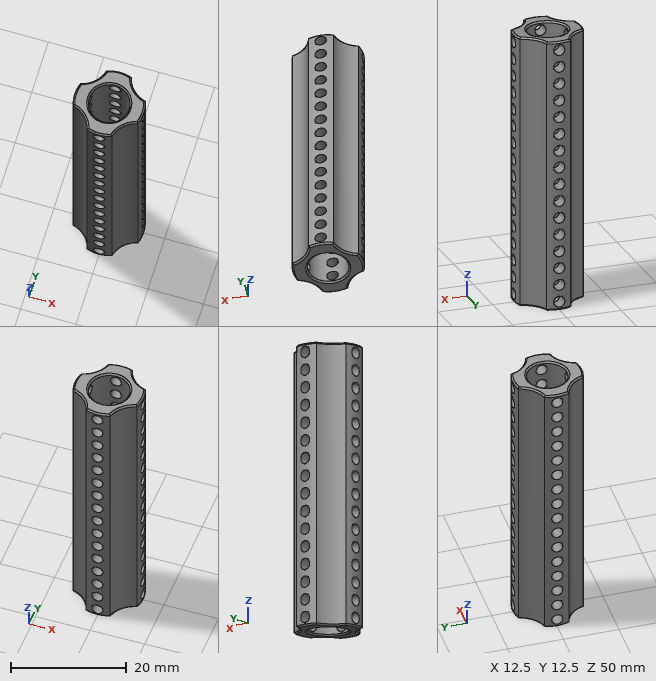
import cadquery as cq

length = 50.0
outer_diameter = 12.5
outer_radius = outer_diameter / 2
bore_diameter = 7.2
edge_chamfer = 0.3

flute_count = 4
flute_radius = 5.0
flute_floor_radius = 5.0
flute_center_distance = flute_floor_radius + flute_radius
first_flute_angle = 180 / flute_count

hole_diameter = 2.0
holes_per_row = 16
hole_pitch = length / holes_per_row


def fluted_body():
    """Solid round bar with the flutes cut along its full length."""
    flutes = (
        cq.Workplane("XY")
        .polarArray(flute_center_distance, first_flute_angle, 360, flute_count)
        .circle(flute_radius)
        .extrude(length)
    )
    return cq.Workplane("XY").circle(outer_radius).extrude(length).cut(flutes)


def cross_holes(plane):
    """Pins that run through the whole tube, evenly spaced along its length."""
    return (
        cq.Workplane(plane)
        .center(0, length / 2)
        .rarray(hole_pitch, hole_pitch, 1, holes_per_row)
        .circle(hole_diameter / 2)
        .extrude(outer_radius, both=True)
    )


bored_tube = fluted_body().faces(">Z").workplane().hole(bore_diameter)

chamfered_tube = bored_tube.faces("<Z or >Z").edges().chamfer(edge_chamfer)

result = chamfered_tube.cut(cross_holes("XZ")).cut(cross_holes("YZ"))